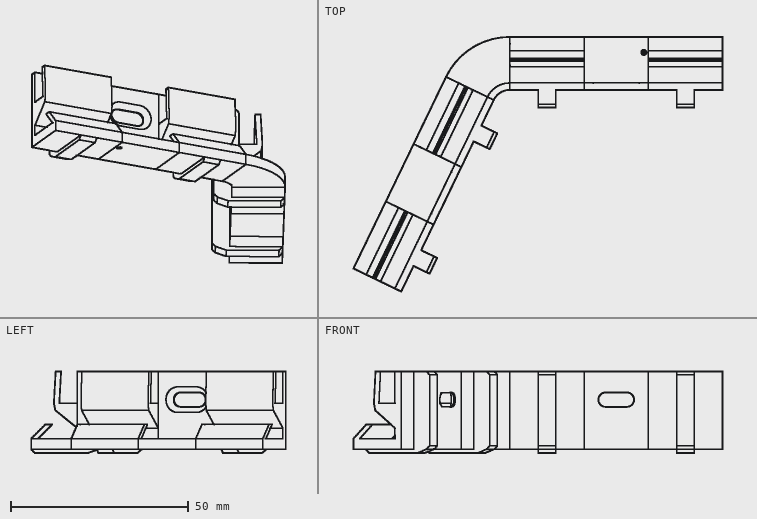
import cadquery as cq

bend_angle = 64.22
outer_radius = 20.0
depth = 15.0
base_thickness = 3.0
wall_thickness = 2.0
height = 22.0
clip_length = 21.0
middle_length = 18.02

back_radius = outer_radius - depth
wall_face = depth - wall_thickness

lip_height = 4.0
lip_lean = 4.0
lip_width = 2.0
lip_top = base_thickness + lip_height

slot_floor = 13.0
finger_width = 1.6
finger_top_front = 6.9
finger_bulge_front = 6.4
finger_root_front = 6.8
finger_root_height = 11.0
web_foot_height = 6.0

rib_width = 5.0
rib_reach = 5.0
rib_drop = 1.09
rib_chamfer = 1.0
rib_slope_start = 16.0
rib_back = depth + rib_reach

screw_slot_length = 10.0
screw_slot_width = 4.0
screw_slot_height = 14.0
countersink = 1.6

plug_diameter = 0.7
plug_hole_diameter = 1.4
plug_from_bend = 37.8
plug_from_edge = 4.4


def arm_prism(section, start, length):
    """Prism along +X; section points are (distance from the outer edge, height)."""
    points = [(outer_radius - inset, z) for inset, z in section]
    return cq.Workplane("YZ", origin=(start, 0, 0)).polyline(points).close().extrude(length)


def make_clip(start):
    section = [
        (0, 0),
        (depth, 0),
        (depth, height),
        (wall_face, height),
        (wall_face, slot_floor),
        (finger_bulge_front + finger_width, slot_floor),
        (finger_top_front + finger_width, height),
        (finger_top_front, height),
        (finger_bulge_front, slot_floor),
        (finger_root_front, finger_root_height),
        (wall_face, web_foot_height),
        (wall_face, base_thickness),
        (lip_width, base_thickness),
        (lip_lean + lip_width, lip_top),
        (lip_lean, lip_top),
        (0, base_thickness),
    ]
    rib_section = [
        (0, 0),
        (rib_drop, -rib_drop),
        (rib_slope_start, -rib_drop),
        (rib_back - rib_chamfer, 0),
        (rib_back, rib_chamfer),
        (rib_back, height - rib_chamfer),
        (rib_back - rib_chamfer, height),
        (depth, height),
        (depth, 0),
    ]
    rib_start = start + (clip_length - rib_width) / 2
    return arm_prism(section, start, clip_length).union(arm_prism(rib_section, rib_start, rib_width))


def make_middle(start):
    section = [
        (0, 0),
        (depth, 0),
        (depth, height),
        (wall_face, height),
        (wall_face, base_thickness),
        (0, base_thickness),
    ]
    slot_plane = cq.Workplane(
        "XZ", origin=(start + middle_length / 2, outer_radius - wall_face, screw_slot_height)
    )
    slot = slot_plane.slot2D(screw_slot_length, screw_slot_width).extrude(wall_thickness)
    sink = (
        slot_plane.slot2D(screw_slot_length + 2 * countersink, screw_slot_width + 2 * countersink)
        .extrude(countersink, taper=45)
    )
    return arm_prism(section, start, middle_length).cut(slot).cut(sink)


def make_corner():
    """Base and wall of the bend, swept about the Z axis."""
    section = [
        (back_radius, 0),
        (outer_radius, 0),
        (outer_radius, base_thickness),
        (back_radius + wall_thickness, base_thickness),
        (back_radius + wall_thickness, height),
        (back_radius, height),
    ]
    swept = cq.Workplane("YZ").polyline(section).close()
    return swept.revolve(bend_angle, (0, 0, 0), (0, 1, 0))


def base_pin(diameter):
    """Cylinder through the base at the plug's place."""
    return (
        cq.Workplane("XY")
        .center(plug_from_bend, outer_radius - plug_from_edge)
        .circle(diameter / 2)
        .extrude(base_thickness)
    )


def to_second_arm(body):
    """Mirror a body of the first arm and turn it to the far side of the bend."""
    return body.mirror("YZ").rotate((0, 0, 0), (0, 0, 1), bend_angle)


middle_start = clip_length
clip_starts = [0, middle_start + middle_length]

corner = make_corner()
plug = base_pin(plug_diameter)
middle = make_middle(middle_start)
clips = [make_clip(start) for start in clip_starts]

first_arm = clips + [middle.cut(base_pin(plug_hole_diameter))]
second_arm = [to_second_arm(body) for body in clips + [middle]]

result = cq.Compound.makeCompound(
    [body.val() for body in [corner, plug] + first_arm + second_arm]
)